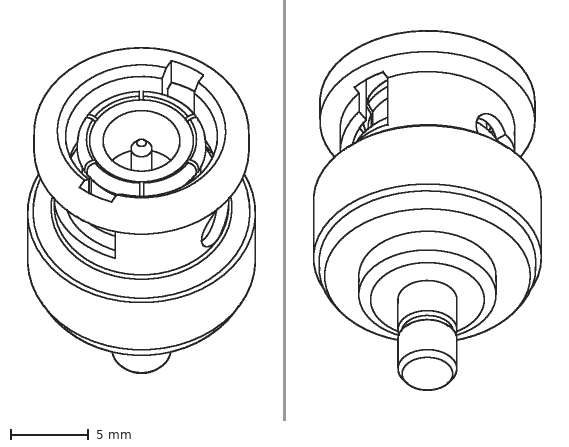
import cadquery as cq

AXIS = ((0, 0, 0), (0, 0, 1))

tail_radius = 1.89
tail_tip_radius = 1.62
tail_chamfer_height = 0.42
groove_radius = 1.67
groove_flank = 0.22
groove_bottom_z = 2.94
groove_top_z = 3.72

ferrule_bottom_z = 6.27
ferrule_radius = 4.4
ferrule_chamfer = 0.75
ferrule_chamfer_height = 0.42

body_bottom_z = 8.28
body_top_z = 15.2
body_end_radius = 6.95
body_rear_radius = 6.6
body_rear_bevel_radius = 6.7
body_rear_bevel_z = 8.41
body_rear_round_radius = 6.87
body_rear_round_bottom_z = 8.7
body_rear_round_top_z = 9.0
body_rear_round = 0.55
grip_radius = 7.31
grip_bottom_z = 9.5
grip_bevel_height = 0.27
grip_top_z = 14.7
body_top_round = 0.2

neck_radius = 5.6
neck_foot_radius = 5.8
neck_foot_height = 0.2
flange_radius = 6.9
flange_top_z = 23.2
flange_cone_bottom_z = 20.75
flange_cone_top_z = 21.18
flange_side_z = 21.32
flange_cone_radius = 6.72
flange_round = 0.2

bore_radius = 4.87
bore_chamfer = 0.53
cavity_floor_z = 18.12

key_width = 2.37
key_radius = 6.05
lock_hole_radius = 1.61
lock_hole_z = 17.05
ramp_angle = 14.5
ramp_width = 2.3

sleeve_radius = 3.8
bulge_radius = 4.13
bulge_bottom_z = 20.9
bulge_height = 0.6
sleeve_top_z = 22.33
sleeve_rim_outer = 3.72
sleeve_rim_inner = 3.53
sleeve_slit_count = 6
sleeve_slit_width = 0.27

insulator_radius = 3.33
insulator_bore_radius = 2.46
insulator_top_z = 22.2
pin_radius = 0.67
pin_tip_radius = 0.3
pin_shoulder_z = 21.4
pin_top_z = 22.0


def revolve(profile):
    """Close a (radius, z) profile drawn on XZ and turn it about its local Y, the part's Z."""
    return profile.close().revolve(360, (0, 0, 0), (0, 1, 0))


def cylinder(radius, bottom_z, top_z):
    return cq.Workplane("XY").workplane(offset=bottom_z).circle(radius).extrude(top_z - bottom_z)


def make_rear():
    """Crimp tail with its groove, and the chamfered ferrule, up to the body."""
    return revolve(
        cq.Workplane("XZ")
        .lineTo(tail_tip_radius, 0)
        .lineTo(tail_radius, tail_chamfer_height)
        .lineTo(tail_radius, groove_bottom_z)
        .lineTo(groove_radius, groove_bottom_z + groove_flank)
        .lineTo(groove_radius, groove_top_z - groove_flank)
        .lineTo(tail_radius, groove_top_z)
        .lineTo(tail_radius, ferrule_bottom_z)
        .lineTo(ferrule_radius - ferrule_chamfer, ferrule_bottom_z)
        .lineTo(ferrule_radius, ferrule_bottom_z + ferrule_chamfer_height)
        .lineTo(ferrule_radius, body_bottom_z)
        .lineTo(0, body_bottom_z)
    )


def make_body():
    """Gripping body with a raised band and a rounded, two-stage bevel at its rear edge."""
    return revolve(
        cq.Workplane("XZ")
        .moveTo(0, body_bottom_z)
        .lineTo(body_rear_radius, body_bottom_z)
        .lineTo(body_rear_bevel_radius, body_rear_bevel_z)
        .lineTo(body_rear_round_radius, body_rear_round_bottom_z)
        .radiusArc((body_end_radius, body_rear_round_top_z), -body_rear_round)
        .lineTo(body_end_radius, grip_bottom_z)
        .lineTo(grip_radius, grip_bottom_z + grip_bevel_height)
        .lineTo(grip_radius, grip_top_z)
        .lineTo(body_end_radius, grip_top_z)
        .lineTo(body_end_radius, body_top_z - body_top_round)
        .radiusArc((body_end_radius - body_top_round, body_top_z), -body_top_round)
        .lineTo(0, body_top_z)
    )


def make_shell():
    """Neck and flange, hollow inside the bore radius."""
    return revolve(
        cq.Workplane("XZ")
        .moveTo(bore_radius, body_top_z)
        .lineTo(neck_foot_radius, body_top_z)
        .lineTo(neck_radius, body_top_z + neck_foot_height)
        .lineTo(neck_radius, flange_cone_bottom_z)
        .lineTo(flange_cone_radius, flange_cone_top_z)
        .lineTo(flange_radius, flange_side_z)
        .lineTo(flange_radius, flange_top_z - flange_round)
        .radiusArc((flange_radius - flange_round, flange_top_z), -flange_round)
        .lineTo(bore_radius + bore_chamfer, flange_top_z)
        .lineTo(bore_radius, flange_top_z - bore_chamfer)
    )


def make_bayonet_cut():
    """Keyway, sloping ramp and round lock seat on the -Y and -X sides."""
    reach = 2 * key_radius
    keyway = (
        cq.Workplane("XY", origin=(0, -reach / 2, cavity_floor_z))
        .rect(key_width, reach)
        .extrude(flange_top_z - cavity_floor_z)
        .intersect(cylinder(key_radius, cavity_floor_z, flange_top_z))
    )
    ramp = (
        cq.Workplane("XY")
        .box(reach, reach, ramp_width, centered=(False, False, False))
        .translate((key_width / 2 - reach, -reach, -lock_hole_radius))
        .rotate((0, 0, 0), (1, 0, 0), -ramp_angle)
        .translate((0, 0, lock_hole_z))
    )
    lock_seat = (
        cq.Workplane("YZ", origin=(0, 0, lock_hole_z)).circle(lock_hole_radius).extrude(-reach)
    )
    return keyway.union(ramp).union(lock_seat)


def make_sleeve():
    """Contact sleeve with a rounded bead near its mouth, slit into equal fingers."""
    bulge_top_z = bulge_bottom_z + bulge_height
    sleeve = revolve(
        cq.Workplane("XZ")
        .moveTo(insulator_radius, cavity_floor_z)
        .lineTo(sleeve_radius, cavity_floor_z)
        .lineTo(sleeve_radius, bulge_bottom_z)
        .lineTo(bulge_radius, bulge_top_z)
        .spline([(sleeve_rim_outer, sleeve_top_z)], tangents=[(0, 1), (-1, 0)], includeCurrent=True)
        .lineTo(sleeve_rim_inner, sleeve_top_z)
        .lineTo(insulator_radius, insulator_top_z)
    )
    slit_length = 2 * bulge_radius
    slit_height = sleeve_top_z - cavity_floor_z
    for index in range(sleeve_slit_count):
        slit = (
            cq.Workplane("XY", origin=(0, 0, cavity_floor_z))
            .box(slit_length, sleeve_slit_width, slit_height, centered=(False, True, False))
            .rotate(*AXIS, index * 360 / sleeve_slit_count)
        )
        sleeve = sleeve.cut(slit)
    return sleeve


def make_insulator():
    return cylinder(insulator_radius, cavity_floor_z, insulator_top_z).cut(
        cylinder(insulator_bore_radius, cavity_floor_z, insulator_top_z)
    )


def make_pin():
    """Centre pin with a conical tip."""
    return revolve(
        cq.Workplane("XZ", origin=(0, 0, cavity_floor_z))
        .lineTo(pin_radius, 0)
        .lineTo(pin_radius, pin_shoulder_z - cavity_floor_z)
        .lineTo(pin_tip_radius, pin_top_z - cavity_floor_z)
        .lineTo(0, pin_top_z - cavity_floor_z)
    )


shell = make_shell()
for turn in (0, 180):
    shell = shell.cut(make_bayonet_cut().rotate(*AXIS, turn))

result = make_rear().union(make_body()).union(shell)
result = result.union(cylinder(bore_radius, body_top_z, cavity_floor_z))
for inner_part in (make_sleeve(), make_insulator(), make_pin()):
    result = result.union(inner_part)